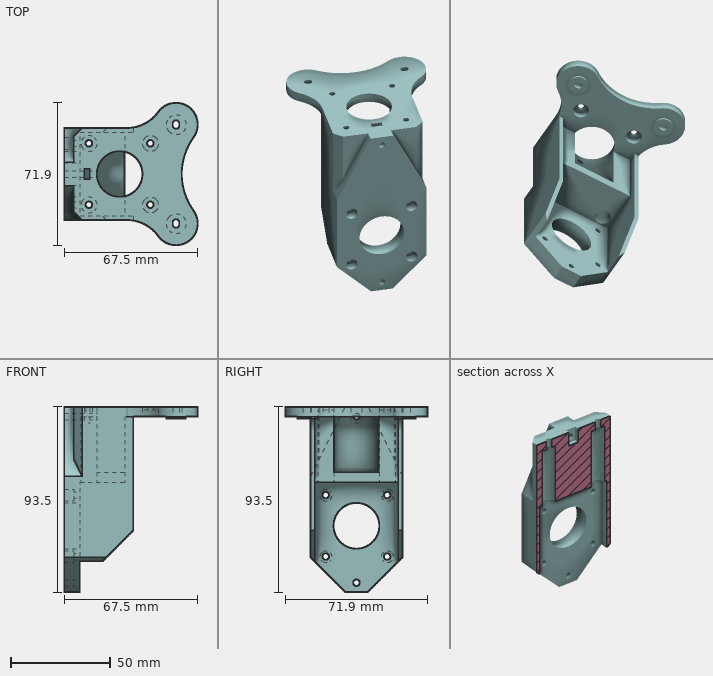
import cadquery as cq
import math

body_width = 46.5
body_depth = 35.0
total_height = 93.5
plate_thickness = 5.0
wall_thickness = 8.0
half_width = body_width / 2

bolt_spacing = 31.0
pilot_diameter = 23.0
screw_diameter = 3.2
top_motor_x = 28.0
wall_motor_z = -60.0
head_bore_diameter = 6.0
head_bore_depth = 5.0
driver_bore_diameter = 8.0
front_screw_seat = 1.5

side_bottom_z = -78.0
front_slope_top_z = -62.3
foot_half_width = 5.6
foot_taper_height = half_width - foot_half_width

motor_pocket_width = 42.0
motor_pocket_top_z = -38.0
block_depth = 30.5
pilot_bore_depth = 33.0

relief_depth = 4.9
relief_chamfer = 4.2
relief_top_half_width = 5.9
relief_height = 35.0

lobe_x = 56.48
lobe_y = 24.965
lobe_radius = 11.0
side_arc_radius = 19.5
front_arc_x = 59.4
slot_length = 4.2
boss_diameter = 10.0
boss_height = 1.0

fixing_inset = 4.8
nut_slot_x = 11.6
nut_slot_length = 2.7
nut_slot_width = 5.5
nut_slot_depth = 8.0


def square_pattern(center):
    """Four bolt positions around a center."""
    half = bolt_spacing / 2
    return [(center[0] + i * half, center[1] + j * half) for i in (-1, 1) for j in (-1, 1)]


def x_cylinders(points, diameter, start, end):
    """Cylinders along X at (y, z) points."""
    return cq.Workplane("YZ", origin=(start, 0, 0)).pushPoints(points).circle(diameter / 2).extrude(end - start)


def z_cylinders(points, diameter, depth, top=0.0):
    """Cylinders reaching downwards from the height `top` at (x, y) points."""
    return cq.Workplane("XY", origin=(0, 0, top)).pushPoints(points).circle(diameter / 2).extrude(-depth)


def box(x_range, width, z_range):
    """Box centered on the symmetry plane."""
    size_x = x_range[1] - x_range[0]
    size_z = z_range[1] - z_range[0]
    corner = (x_range[0], -width / 2, z_range[0])
    return cq.Workplane("XY").box(size_x, width, size_z, centered=False).translate(corner)


def make_body():
    """Wall with side cheeks, sloped at the front and tapered to a narrow foot."""
    slope_run = front_slope_top_z - side_bottom_z
    side = (
        cq.Workplane("XZ")
        .polyline([
            (0, 0),
            (body_depth, 0),
            (body_depth, front_slope_top_z),
            (body_depth - slope_run, side_bottom_z),
            (wall_thickness, side_bottom_z),
            (wall_thickness, -total_height),
            (0, -total_height),
        ])
        .close()
        .extrude(half_width, both=True)
    )
    taper_z = foot_taper_height - total_height
    face = (
        cq.Workplane("YZ")
        .polyline([
            (-half_width, 0),
            (-half_width, taper_z),
            (-foot_half_width, -total_height),
            (foot_half_width, -total_height),
            (half_width, taper_z),
            (half_width, 0),
        ])
        .close()
        .extrude(body_depth)
    )
    return side.intersect(face)


def make_recesses():
    """Motor pocket open below and in front, and the gap in front of the upper block."""
    pocket = box((wall_thickness, body_depth), motor_pocket_width, (-total_height, motor_pocket_top_z))
    gap = box((block_depth, body_depth), motor_pocket_width, (motor_pocket_top_z, -plate_thickness))
    return pocket.union(gap)


def make_plate():
    """Top plate with two round lobes joined by tangent concave arcs."""
    side_arc_y = half_width + side_arc_radius
    side_reach = side_arc_radius + lobe_radius
    side_arc_x = lobe_x - math.sqrt(side_reach**2 - (side_arc_y - lobe_y) ** 2)
    side_share = lobe_radius / side_reach
    side_joint = (lobe_x + (side_arc_x - lobe_x) * side_share, lobe_y + (side_arc_y - lobe_y) * side_share)
    side_angle = math.atan2(lobe_y - side_arc_y, lobe_x - side_arc_x)
    side_mid_angle = (side_angle - math.pi / 2) / 2
    side_mid = (
        side_arc_x + side_arc_radius * math.cos(side_mid_angle),
        side_arc_y + side_arc_radius * math.sin(side_mid_angle),
    )

    setback = front_arc_x - lobe_x
    front_radius = (setback**2 + lobe_y**2 - lobe_radius**2) / (2 * (lobe_radius - setback))
    front_share = lobe_radius / (front_radius + lobe_radius)
    front_joint = (lobe_x + (setback + front_radius) * front_share, lobe_y * (1 - front_share))

    lobe_mid = (lobe_x + lobe_radius * math.cos(math.pi / 4), lobe_y + lobe_radius * math.sin(math.pi / 4))

    def mirrored(point):
        return (point[0], -point[1])

    return (
        cq.Workplane("XY")
        .moveTo(0, -half_width)
        .lineTo(side_arc_x, -half_width)
        .threePointArc(mirrored(side_mid), mirrored(side_joint))
        .threePointArc(mirrored(lobe_mid), mirrored(front_joint))
        .threePointArc((front_arc_x, 0), front_joint)
        .threePointArc(lobe_mid, side_joint)
        .threePointArc(side_mid, (side_arc_x, half_width))
        .lineTo(0, half_width)
        .close()
        .extrude(-plate_thickness)
    )


def make_corner_reliefs():
    """Chamfered cutbacks on both sides of the sloping upper end of the wall."""
    inner_y = half_width - relief_chamfer
    chamfer_x = relief_depth + relief_chamfer
    reliefs = cq.Workplane("XY")
    for side in (-1, 1):
        plan = (
            cq.Workplane("XY")
            .polyline([
                (0, 0),
                (relief_depth, 0),
                (relief_depth, side * inner_y),
                (chamfer_x, side * half_width),
                (0, side * half_width),
            ])
            .close()
            .extrude(-relief_height)
        )
        triangle = (
            cq.Workplane("YZ")
            .polyline([
                (side * relief_top_half_width, 0),
                (side * half_width, 0),
                (side * half_width, -relief_height),
            ])
            .close()
            .extrude(chamfer_x)
        )
        reliefs = reliefs.add(plan.intersect(triangle))
    return reliefs.combine()


def make_top_holes():
    """Pilot bore and motor screw holes, widened from below for the screw heads."""
    bolts = square_pattern((top_motor_x, 0))
    rear_bolts = [bolt for bolt in bolts if bolt[0] < top_motor_x]
    front_bolts = [bolt for bolt in bolts if bolt[0] > top_motor_x]
    pilot = z_cylinders([(top_motor_x, 0)], pilot_diameter, pilot_bore_depth)
    screws = z_cylinders(bolts, screw_diameter, plate_thickness)
    rear_depth = -motor_pocket_top_z - plate_thickness
    rear_access = z_cylinders(rear_bolts, driver_bore_diameter, rear_depth, -plate_thickness)
    front_depth = plate_thickness - front_screw_seat
    front_access = z_cylinders(front_bolts, driver_bore_diameter, front_depth, -front_screw_seat)
    return pilot.union(screws).union(rear_access).union(front_access)


def make_wall_holes():
    """Pilot hole and counterbored motor screw holes through the wall."""
    bolts = square_pattern((0, wall_motor_z))
    pilot = x_cylinders([(0, wall_motor_z)], pilot_diameter, 0, wall_thickness)
    screws = x_cylinders(bolts, screw_diameter, 0, wall_thickness)
    heads = x_cylinders(bolts, head_bore_diameter, 0, head_bore_depth)
    return pilot.union(screws).union(heads)


def make_fixing_holes():
    """Upper hole into the pilot bore with its nut trap, and lower hole through the foot."""
    upper = x_cylinders([(0, -fixing_inset)], screw_diameter, 0, top_motor_x)
    lower = x_cylinders([(0, fixing_inset - total_height)], screw_diameter, 0, wall_thickness)
    half_slot = nut_slot_length / 2
    nut_trap = box((nut_slot_x - half_slot, nut_slot_x + half_slot), nut_slot_width, (-nut_slot_depth, 0))
    return upper.union(lower).union(nut_trap)


def make_lobe_bosses(part):
    """Add the spacer bosses under the lobes and cut the screw slots."""
    centers = [(lobe_x, lobe_y), (lobe_x, -lobe_y)]
    bosses = z_cylinders(centers, boss_diameter, plate_thickness + boss_height)
    slots = (
        cq.Workplane("XY")
        .pushPoints(centers)
        .slot2D(slot_length, screw_diameter, 90)
        .extrude(-plate_thickness - boss_height)
    )
    return part.union(bosses).cut(slots)


result = make_body().cut(make_recesses()).union(make_plate())
result = result.cut(make_corner_reliefs())
result = result.cut(make_top_holes()).cut(make_wall_holes()).cut(make_fixing_holes())
result = make_lobe_bosses(result)